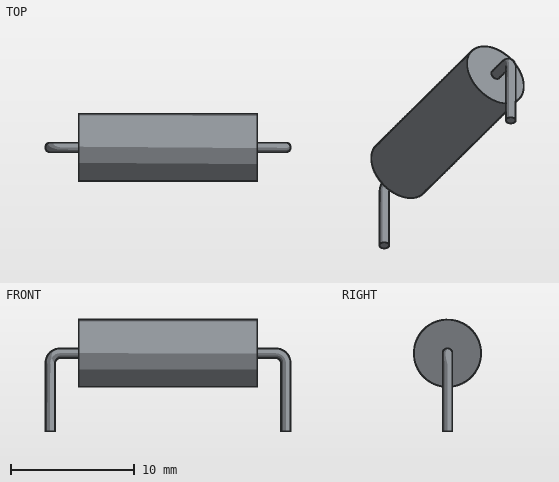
import cadquery as cq

overall_length = 19.86
body_length = 14.45
body_diameter = 5.46
lead_diameter = 0.8
bend_radius = 0.81
lead_drop = 6.32

body_end = body_length / 2
leg_x = (overall_length - lead_diameter) / 2
bend_start_x = leg_x - bend_radius


def make_body():
    """Solid cylinder lying along X."""
    return (
        cq.Workplane("YZ", origin=(-body_end, 0, 0))
        .circle(body_diameter / 2)
        .extrude(body_length)
    )


def make_lead(side):
    """Round wire from a body end face, bent down; side is -1 or +1 along X."""
    path = (
        cq.Workplane("XZ")
        .moveTo(side * body_end, 0)
        .lineTo(side * bend_start_x, 0)
        .tangentArcPoint((side * leg_x, -bend_radius), relative=False)
        .lineTo(side * leg_x, -lead_drop)
    )
    return (
        cq.Workplane("YZ", origin=(side * body_end, 0, 0))
        .circle(lead_diameter / 2)
        .sweep(path)
    )


body = make_body()
leads = [make_lead(side) for side in (-1, 1)]

result = cq.Compound.makeCompound([body.val(), *[lead.val() for lead in leads]])